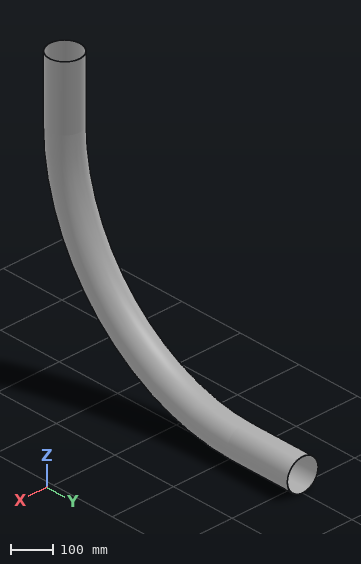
import cadquery as cq

outer_diameter = 101.6
inner_diameter = 98.4
bend_radius = 609.6
bend_angle = 90
straight_length = 203.2

upright_end = cq.Plane(origin=(0, 0, bend_radius), xDir=(1, 0, 0), normal=(0, 0, 1))
level_end = cq.Plane(origin=(0, bend_radius, 0), xDir=(1, 0, 0), normal=(0, 1, 0))


def tube_section(plane):
    """Annular cross-section of the tube, centred on the given plane."""
    return cq.Workplane(plane).circle(outer_diameter / 2).circle(inner_diameter / 2)


def straight_leg(plane):
    """Open straight tube leading away from one end of the bend."""
    return tube_section(plane).extrude(straight_length)


def bend():
    """Quarter turn from the upright leg to the level leg, about an axis parallel to X."""
    axis_start = (0, bend_radius)
    axis_end = (1, bend_radius)
    return tube_section(upright_end).revolve(bend_angle, axis_start, axis_end)


result = straight_leg(upright_end).union(bend()).union(straight_leg(level_end))